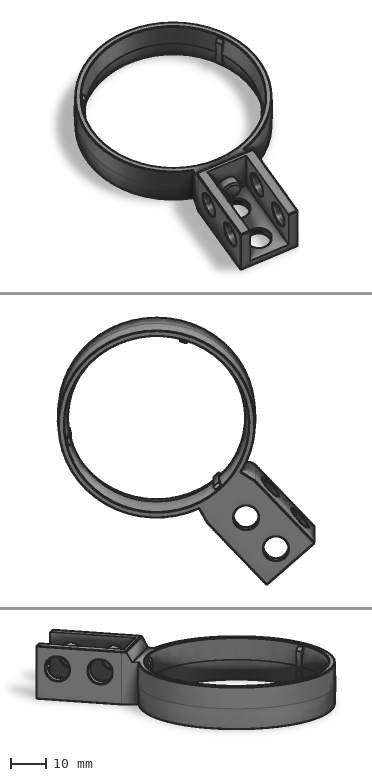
import cadquery as cq
import math

TOTAL_LENGTH = 84.4

RING_DIAMETER = 56.1
RING_HEIGHT = 12.5
MID_Z = RING_HEIGHT / 2
OUTER_CROWN_RADIUS = RING_DIAMETER / 2
OUTER_END_RADIUS = 27.85
INNER_WAIST_RADIUS = 25.0
INNER_END_RADIUS = 26.1
EDGE_CHAMFER = 0.25

RIB_COUNT = 3
RIB_WIDTH = 2.0
RIB_FACE_RADIUS = 24.9
RIB_END_GAP = 0.6
RIB_SLOPE_DEPTH = 0.85
RIB_SLOPE_HEIGHT = 1.2

CLEVIS_HEIGHT = 15.6
CLEVIS_WIDTH = 18.6
CLEVIS_START_X = 31.3
CLEVIS_END_X = TOTAL_LENGTH - OUTER_CROWN_RADIUS
NECK_ROOT_RADIUS = 27.0
NECK_ROOT_WIDTH = 15.9
RAMP_FOOT_X = 28.3
RAMP_TOP_X = 30.1

SLOT_WIDTH = 12.5
SLOT_START_X = 31.3
FLOOR_THICKNESS = 2.5

HOLE_DIAMETER = 7.0
HOLE_SPACING = 12.5
HOLE_COUNT = 2
FIRST_HOLE_X = 37.55
ARM_HOLE_Z = 9.3
HOLE_CHAMFER = 0.25

STUD_DIAMETER = 6.4
STUD_LENGTH = 2.95
STUD_CHAMFER = 0.5


def make_ring():
    section = (
        cq.Workplane("XZ")
        .moveTo(INNER_END_RADIUS + EDGE_CHAMFER, 0)
        .lineTo(OUTER_END_RADIUS - EDGE_CHAMFER, 0)
        .lineTo(OUTER_END_RADIUS, EDGE_CHAMFER)
        .lineTo(OUTER_CROWN_RADIUS, MID_Z)
        .lineTo(OUTER_END_RADIUS, RING_HEIGHT - EDGE_CHAMFER)
        .lineTo(OUTER_END_RADIUS - EDGE_CHAMFER, RING_HEIGHT)
        .lineTo(INNER_END_RADIUS + EDGE_CHAMFER, RING_HEIGHT)
        .lineTo(INNER_END_RADIUS, RING_HEIGHT - EDGE_CHAMFER)
        .lineTo(INNER_WAIST_RADIUS, MID_Z)
        .lineTo(INNER_END_RADIUS, EDGE_CHAMFER)
        .close()
    )
    return section.revolve(360, (0, 0, 0), (0, 1, 0))


def make_rib(angle):
    root_radius = (INNER_END_RADIUS + OUTER_END_RADIUS) / 2
    slope_radius = RIB_FACE_RADIUS + RIB_SLOPE_DEPTH
    low = RIB_END_GAP
    high = RING_HEIGHT - RIB_END_GAP
    rib = (
        cq.Workplane("XZ")
        .moveTo(root_radius, low)
        .lineTo(slope_radius, low)
        .lineTo(RIB_FACE_RADIUS, low + RIB_SLOPE_HEIGHT)
        .lineTo(RIB_FACE_RADIUS, high - RIB_SLOPE_HEIGHT)
        .lineTo(slope_radius, high)
        .lineTo(root_radius, high)
        .close()
        .extrude(RIB_WIDTH / 2, both=True)
    )
    return rib.rotate((0, 0, 0), (0, 0, 1), angle)


def make_clevis_block():
    half_width = CLEVIS_WIDTH / 2
    half_root = NECK_ROOT_WIDTH / 2
    root_x = math.sqrt(NECK_ROOT_RADIUS**2 - half_root**2)
    plan = (
        cq.Workplane("XY")
        .moveTo(root_x, -half_root)
        .lineTo(CLEVIS_START_X, -half_width)
        .lineTo(CLEVIS_END_X, -half_width)
        .lineTo(CLEVIS_END_X, half_width)
        .lineTo(CLEVIS_START_X, half_width)
        .lineTo(root_x, half_root)
        .threePointArc((NECK_ROOT_RADIUS, 0), (root_x, -half_root))
        .close()
        .extrude(CLEVIS_HEIGHT)
    )
    profile = (
        cq.Workplane("XZ")
        .lineTo(CLEVIS_END_X, 0)
        .lineTo(CLEVIS_END_X, CLEVIS_HEIGHT)
        .lineTo(RAMP_TOP_X, CLEVIS_HEIGHT)
        .lineTo(RAMP_FOOT_X, RING_HEIGHT)
        .lineTo(0, RING_HEIGHT)
        .close()
        .extrude(CLEVIS_WIDTH, both=True)
    )
    block = plan.intersect(profile)
    return block.faces(">Z or <Z or >X").edges().chamfer(EDGE_CHAMFER)


def make_slot():
    length = CLEVIS_END_X - SLOT_START_X
    height = CLEVIS_HEIGHT - FLOOR_THICKNESS
    return (
        cq.Workplane("XY")
        .box(length, SLOT_WIDTH, height, centered=(False, True, False))
        .translate((SLOT_START_X, 0, FLOOR_THICKNESS))
    )


def make_wall_hole(start, end):
    """Cutter along Z for a hole through a wall from start to end, chamfered at both mouths."""
    radius = HOLE_DIAMETER / 2
    mouth = radius + HOLE_CHAMFER
    return (
        cq.Workplane("XZ")
        .moveTo(0, start)
        .lineTo(mouth, start)
        .lineTo(radius, start + HOLE_CHAMFER)
        .lineTo(radius, end - HOLE_CHAMFER)
        .lineTo(mouth, end)
        .lineTo(0, end)
        .close()
        .revolve(360, (0, 0, 0), (0, 1, 0))
    )


def make_holes(x):
    floor_hole = make_wall_hole(0, FLOOR_THICKNESS).translate((x, 0, 0))
    arm_hole = (
        make_wall_hole(SLOT_WIDTH / 2, CLEVIS_WIDTH / 2)
        .rotate((0, 0, 0), (1, 0, 0), 90)
        .translate((x, 0, ARM_HOLE_Z))
    )
    return floor_hole.union(arm_hole).union(arm_hole.mirror("XZ"))


def make_stud():
    return (
        cq.Workplane("YZ", origin=(SLOT_START_X, 0, MID_Z))
        .circle(STUD_DIAMETER / 2)
        .extrude(STUD_LENGTH)
        .faces(">X")
        .chamfer(STUD_CHAMFER)
    )


result = make_ring().union(make_clevis_block())
for index in range(RIB_COUNT):
    result = result.union(make_rib(index * 360 / RIB_COUNT))
result = result.cut(make_slot())
result = result.union(make_stud())
for index in range(HOLE_COUNT):
    result = result.cut(make_holes(FIRST_HOLE_X + index * HOLE_SPACING))